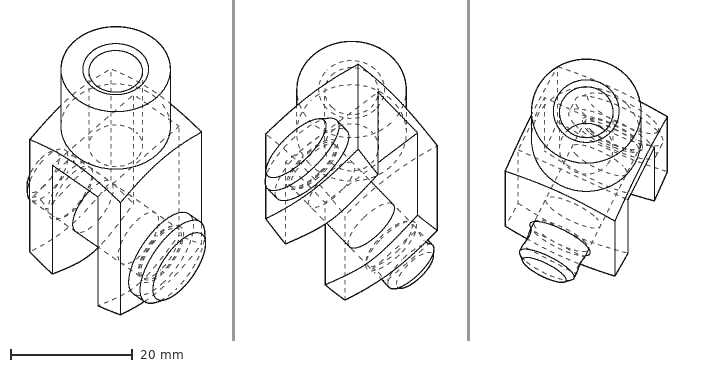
import cadquery as cq
import math


body_width = 20.0
slot_width = 10.0
slot_top_z = 20.0
shoulder_z = 25.0
shank_length = 15.0
shank_radius = 9.0
fork_tip_z = -12.0
shoulder_cone_angle = 25.0
tip_cone_angle = 30.0
bore_diameter = 8.8
bore_chamfer_width = 1.0
bore_chamfer_angle = 30.0
pin_hole_chamfer = 0.5

pin_diameter = 10.0
pin_overhang = 6.0
pin_end_chamfer = 1.0
head_diameter = 16.0
head_length = 4.0
head_chamfer = 1.5
cross_hole_diameter = 3.0
cross_hole_setback = 3.5
cross_hole_tilt = 11.0

half_width = body_width / 2
shank_top_z = shoulder_z + shank_length
slot_half_width = slot_width / 2
pin_radius = pin_diameter / 2
envelope_radius = body_width


def make_turned_envelope():
    """Solid of revolution about Z that cones off both ends of the square body."""
    shoulder_drop = (envelope_radius - shank_radius) * math.tan(math.radians(shoulder_cone_angle))
    tip_rise = (envelope_radius - slot_half_width) * math.tan(math.radians(tip_cone_angle))
    return (
        cq.Workplane("XZ")
        .moveTo(0, fork_tip_z)
        .lineTo(slot_half_width, fork_tip_z)
        .lineTo(envelope_radius, fork_tip_z + tip_rise)
        .lineTo(envelope_radius, shoulder_z - shoulder_drop)
        .lineTo(shank_radius, shoulder_z)
        .lineTo(0, shoulder_z)
        .close()
        .revolve(360, (0, 0), (0, 1))
    )


def make_bore_cutter():
    """Bore from the shank top into the slot, with a chamfered mouth."""
    bore_radius = bore_diameter / 2
    chamfer_depth = bore_chamfer_width * math.tan(math.radians(bore_chamfer_angle))
    return (
        cq.Workplane("XZ")
        .moveTo(0, slot_top_z)
        .lineTo(bore_radius, slot_top_z)
        .lineTo(bore_radius, shank_top_z - chamfer_depth)
        .lineTo(bore_radius + bore_chamfer_width, shank_top_z)
        .lineTo(0, shank_top_z)
        .close()
        .revolve(360, (0, 0), (0, 1))
    )


def make_pin_hole_cutter():
    """Hole along X through both fork arms, chamfered at the outer faces."""
    mouth_radius = pin_radius + pin_hole_chamfer
    chamfer_start_x = half_width - pin_hole_chamfer
    return (
        cq.Workplane("XY")
        .moveTo(-half_width, 0)
        .lineTo(-half_width, mouth_radius)
        .lineTo(-chamfer_start_x, pin_radius)
        .lineTo(chamfer_start_x, pin_radius)
        .lineTo(half_width, mouth_radius)
        .lineTo(half_width, 0)
        .close()
        .revolve(360, (0, 0), (1, 0))
    )


def make_clevis():
    """Square fork with a round, bored shank on top."""
    block = (
        cq.Workplane("XY", origin=(0, 0, fork_tip_z))
        .rect(body_width, body_width)
        .extrude(shoulder_z - fork_tip_z)
    )
    shank = cq.Workplane("XY", origin=(0, 0, shoulder_z)).circle(shank_radius).extrude(shank_length)
    slot = (
        cq.Workplane("XY", origin=(0, 0, fork_tip_z))
        .rect(slot_width, body_width)
        .extrude(slot_top_z - fork_tip_z)
    )
    return (
        block.intersect(make_turned_envelope())
        .union(shank)
        .cut(slot)
        .cut(make_bore_cutter())
        .cut(make_pin_hole_cutter())
    )


def make_pin():
    """Headed pin along X with a tilted cross hole near its free end."""
    free_end_x = -half_width - pin_overhang
    head_end_x = half_width + head_length
    head_radius = head_diameter / 2
    turned_pin = (
        cq.Workplane("XY")
        .moveTo(free_end_x, 0)
        .lineTo(free_end_x, pin_radius - pin_end_chamfer)
        .lineTo(free_end_x + pin_end_chamfer, pin_radius)
        .lineTo(half_width, pin_radius)
        .lineTo(half_width, head_radius)
        .lineTo(head_end_x - head_chamfer, head_radius)
        .lineTo(head_end_x, head_radius - head_chamfer)
        .lineTo(head_end_x, 0)
        .close()
        .revolve(360, (0, 0), (1, 0))
    )
    cross_hole = (
        cq.Workplane("XZ")
        .center(free_end_x + cross_hole_setback, 0)
        .circle(cross_hole_diameter / 2)
        .extrude(pin_diameter, both=True)
        .rotate((0, 0, 0), (1, 0, 0), cross_hole_tilt)
    )
    return turned_pin.cut(cross_hole)


clevis = make_clevis()
pin = make_pin()

result = cq.Compound.makeCompound([clevis.solids().val(), pin.solids().val()])